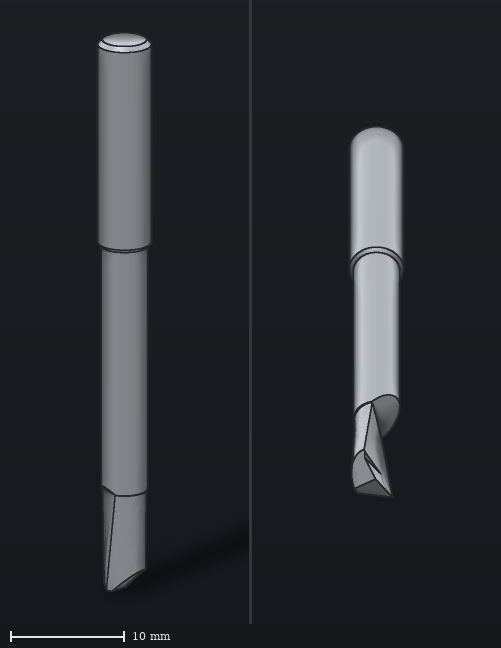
import cadquery as cq
import math


overall_length = 50.8

shank_radius = 4.76 / 2
shank_length = 19.05
top_chamfer = 0.43

neck_radius = 2.05
neck_end_z = 9.2
shank_start_z = overall_length - shank_length
shoulder_chamfer = shank_radius - neck_radius

root_back_radius = 1.96
root_cutting_corner = (-1.81, -0.85)
root_flank_x = 0.45
root_rake_y = 0.9

tip_back_radius = 2.27
tip_cutting_corner = (-2.3, 0.0)
tip_flank_x = -0.3
tip_rake_y = 0.12

end_slope_along_x = 0.05
end_slope_along_y = 0.1
end_chamfer_start_x = 0.15
end_chamfer_start_z = 0.15

rake_flat_height = 1.7

cutter_size = 20.0


def flank_corner(back_radius, flank_x):
    """Corner on the -Y side where the flank meets the round back."""
    return (flank_x, -math.sqrt(back_radius**2 - flank_x**2))


def rake_corner(back_radius, rake_y):
    """Corner on the +X side where the round back meets the rake face."""
    return (math.sqrt(back_radius**2 - rake_y**2), rake_y)


root_flank_corner = flank_corner(root_back_radius, root_flank_x)
root_rake_corner = rake_corner(root_back_radius, root_rake_y)
tip_flank_corner = flank_corner(tip_back_radius, tip_flank_x)
tip_rake_corner = rake_corner(tip_back_radius, tip_rake_y)


def section_wire(z, cutting_corner, flank_end, rake_end, back_radius):
    """Closed blade section: flank line, round back, rake line."""
    start_angle = math.atan2(flank_end[1], flank_end[0])
    end_angle = math.atan2(rake_end[1], rake_end[0])
    middle_angle = (start_angle + end_angle) / 2
    back_middle = (back_radius * math.cos(middle_angle), back_radius * math.sin(middle_angle))
    section = (
        cq.Workplane("XY", origin=(0, 0, z))
        .moveTo(*cutting_corner)
        .lineTo(*flank_end)
        .threePointArc(back_middle, rake_end)
        .close()
    )
    return section.val()


def half_space(origin, normal, x_direction):
    """Block that fills the side of a plane its normal points to."""
    plane = cq.Plane(origin=origin, xDir=x_direction, normal=normal)
    return cq.Workplane(plane).rect(cutter_size, cutter_size).extrude(cutter_size)


def make_shank():
    shank = cq.Workplane("XY", origin=(0, 0, shank_start_z)).circle(shank_radius).extrude(shank_length)
    shank = shank.faces(">Z").chamfer(top_chamfer)
    return shank.faces("<Z").chamfer(shoulder_chamfer)


def neck_run_out(start, end):
    """45 degree cut rising outward from the section edge running start to end.

    The material lies on the left of that edge.
    """
    run_x = end[0] - start[0]
    run_y = end[1] - start[1]
    edge_length = math.hypot(run_x, run_y)
    outward = (run_y / edge_length, -run_x / edge_length)
    return half_space(
        (start[0], start[1], neck_end_z),
        (outward[0], outward[1], -1),
        (run_x, run_y, 0),
    )


def make_neck():
    neck_length = shank_start_z - neck_end_z
    neck = cq.Workplane("XY", origin=(0, 0, neck_end_z)).circle(neck_radius).extrude(neck_length)
    neck = neck.cut(neck_run_out(root_cutting_corner, root_flank_corner))
    return neck.cut(neck_run_out(root_rake_corner, root_cutting_corner))


def make_blade():
    root = section_wire(
        neck_end_z, root_cutting_corner, root_flank_corner, root_rake_corner, root_back_radius
    )
    tip = section_wire(0, tip_cutting_corner, tip_flank_corner, tip_rake_corner, tip_back_radius)
    blade = cq.Workplane(cq.Solid.makeLoft([tip, root], True))

    end_relief = half_space(
        (tip_cutting_corner[0], tip_cutting_corner[1], 0),
        (end_slope_along_x, -end_slope_along_y, -1),
        (1, 0, end_slope_along_x),
    )
    end_chamfer = half_space(
        (end_chamfer_start_x, 0, end_chamfer_start_z),
        (1, 0, -1),
        (0, 1, 0),
    )
    rake_flat = half_space(
        (0, tip_cutting_corner[1], rake_flat_height),
        (0, 1, 0),
        (1, 0, 0),
    )
    rake_run_out = half_space(
        (0, tip_cutting_corner[1], rake_flat_height),
        (0, 1, -1),
        (1, 0, 0),
    )
    return blade.cut(end_relief).cut(end_chamfer).cut(rake_flat.intersect(rake_run_out))


result = make_shank().union(make_neck()).union(make_blade())